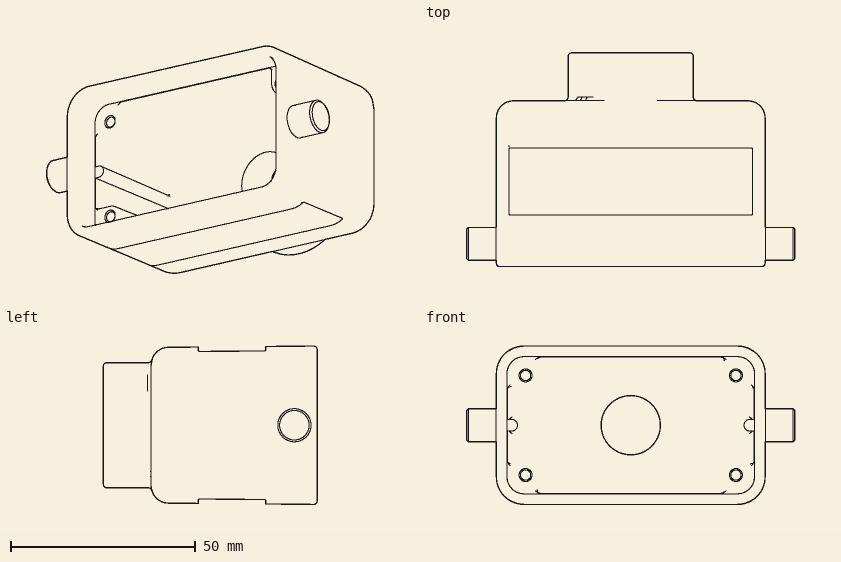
import cadquery as cq
import math

BODY_WIDTH = 72.9
BODY_HEIGHT = 43.0
BODY_DEPTH = 45.0
BODY_CORNER_RADIUS = 7.5
BODY_DRAFT = 0.5
BACK_EDGE_RADIUS = 4.7
MOUTH_EDGE_RADIUS = 1.0

COLLAR_DIAMETER = 34.0
COLLAR_LENGTH = 13.0
COLLAR_EDGE_RADIUS = 1.0
COLLAR_FOOT_RADIUS = 1.0
CABLE_HOLE_DIAMETER = 16.0

SEAT_DEPTH = 9.5
SEAT_WALL = 2.75
SEAT_EDGE_RADIUS = 0.5
CHAMBER_WALL = 3.05
CAVITY_DRAFT = 1.0
FLOOR_THICKNESS = 3.0
FLOOR_RADIUS = 0.8
WALL_JOINT_RADIUS = 0.9

SCREW_SPACING_X = 57.0
SCREW_SPACING_Z = 27.0
SCREW_HOLE_DIAMETER = 2.8
SCREW_HOLE_DEPTH = 10.0
SCREW_HOLE_CHAMFER = 0.35
POST_INNER_X = 25.35
POST_INNER_Z = 10.45
POST_CORNER_RADIUS = 3.4
POST_DRAFT = 1.0
POST_OVERRUN = 2.0
POST_EDGE_RADIUS = 0.6

RIB_RADIUS = 1.6
RIB_CENTER_X = 32.3

PIN_SPAN = 89.0
PIN_DIAMETER = 9.0
PIN_CENTER_Y = 6.2
PIN_CHAMFER = 0.5

LABEL_START_Y = 14.0
LABEL_LENGTH = 18.2
LABEL_DEPTH = 1.2
LABEL_FLOOR_RADIUS = 0.3

CHAMBER_END = BODY_DEPTH - FLOOR_THICKNESS

SELECT_MARGIN = 0.15


def plane_at(y):
    """Sketch plane at depth y whose extrusions run toward +Y."""
    return cq.Workplane(cq.Plane((0, y, 0), xDir=(-1, 0, 0), normal=(0, 1, 0)))


def drafted_block(y, width, height, radius, depth, draft):
    """Rounded block that narrows toward +Y."""
    outline = cq.Sketch().rect(width, height).vertices().fillet(radius)
    return plane_at(y).placeSketch(outline).extrude(depth, taper=draft)


def make_body():
    """Solid hood whose long sides are drafted while its short sides stay parallel."""
    mouth_z = BODY_HEIGHT / 2
    back_z = mouth_z - BODY_DEPTH * math.tan(math.radians(BODY_DRAFT))
    profile = [(0, -mouth_z), (BODY_DEPTH, -back_z), (BODY_DEPTH, back_z), (0, mouth_z)]
    body = cq.Workplane("YZ").polyline(profile).close().extrude(BODY_WIDTH / 2, both=True)
    long_corners = body.edges("not(|X)").edges("not(|Z)")
    body = long_corners.fillet(BODY_CORNER_RADIUS)
    body = body.faces(">Y").edges().fillet(BACK_EDGE_RADIUS)
    return body.faces("<Y").edges().fillet(MOUTH_EDGE_RADIUS)


def add_collar(body):
    """Join the cable collar to the back and round the joint and the rim."""
    collar = plane_at(BODY_DEPTH / 2).circle(COLLAR_DIAMETER / 2).extrude(BODY_DEPTH / 2 + COLLAR_LENGTH)
    reach = COLLAR_DIAMETER / 2 + COLLAR_FOOT_RADIUS / 2
    joint = cq.selectors.BoxSelector(
        (-reach, BODY_DEPTH - BACK_EDGE_RADIUS, -reach),
        (reach, BODY_DEPTH + COLLAR_FOOT_RADIUS, reach),
    )
    joined = body.union(collar)
    joined = joined.faces(">Y").edges().fillet(COLLAR_EDGE_RADIUS)
    return joined.edges(joint).edges("not %LINE").fillet(COLLAR_FOOT_RADIUS)


def make_pins():
    pins = cq.Workplane("YZ", origin=(-PIN_SPAN / 2, PIN_CENTER_Y, 0))
    pins = pins.circle(PIN_DIAMETER / 2).extrude(PIN_SPAN)
    return pins.faces("<X or >X").chamfer(PIN_CHAMFER)


def cut_seat(shell):
    """Open the mouth with a drafted seat and round its inner edge."""
    radius = BODY_CORNER_RADIUS - SEAT_WALL
    width = BODY_WIDTH - 2 * SEAT_WALL
    height = BODY_HEIGHT - 2 * SEAT_WALL
    shell = shell.cut(drafted_block(0, width, height, radius, SEAT_DEPTH, CAVITY_DRAFT))
    reach_x = width / 2 + SELECT_MARGIN
    reach_z = height / 2 + SELECT_MARGIN
    inner_edge = cq.selectors.BoxSelector(
        (-reach_x, -SELECT_MARGIN, -reach_z),
        (reach_x, SELECT_MARGIN, reach_z),
        boundingbox=True,
    )
    return shell.edges(inner_edge).fillet(SEAT_EDGE_RADIUS)


def make_post(side_x, side_z):
    """Post that thickens toward the floor and runs past the cavity walls into the shell."""
    width = BODY_WIDTH / 2 + POST_OVERRUN - POST_INNER_X
    height = BODY_HEIGHT / 2 + POST_OVERRUN - POST_INNER_Z
    outline = cq.Sketch().rect(width, height).vertices().fillet(POST_CORNER_RADIUS)
    post = plane_at(SEAT_DEPTH).placeSketch(outline).extrude(BODY_DEPTH, taper=-POST_DRAFT)
    post = post.faces("<Y").edges().fillet(POST_EDGE_RADIUS)
    return post.translate((side_x * (POST_INNER_X + width / 2), 0, side_z * (POST_INNER_Z + height / 2)))


def make_rib(side_x):
    """Rib standing on a floor plate, with the joint between them rounded."""
    length = 2 * (BODY_WIDTH / 2 - RIB_CENTER_X)
    center_x = side_x * (RIB_CENTER_X + length / 2)
    plate_size = length + 4 * RIB_RADIUS
    plate = plane_at(CHAMBER_END).center(-center_x, 0).rect(2 * plate_size, plate_size)
    plate = plate.extrude(FLOOR_THICKNESS)
    rib = plane_at(SEAT_DEPTH).center(-center_x, 0).slot2D(length + 2 * RIB_RADIUS, 2 * RIB_RADIUS)
    rib = rib.extrude(CHAMBER_END - SEAT_DEPTH)
    joint = cq.selectors.BoxSelector(
        (center_x - plate_size / 2, CHAMBER_END - SELECT_MARGIN, -2 * RIB_RADIUS),
        (center_x + plate_size / 2, CHAMBER_END + SELECT_MARGIN, 2 * RIB_RADIUS),
    )
    return plate.union(rib).edges(joint).fillet(FLOOR_RADIUS)


class WallJointSelector(cq.Selector):
    """Edges where posts meet the chamber walls, running from seat to floor."""

    def __init__(self, width, height):
        inset = (CHAMBER_END - SEAT_DEPTH) / 2 * math.tan(math.radians(CAVITY_DRAFT))
        self.half_width = width / 2 - inset
        self.half_height = height / 2 - inset

    def filter(self, edges):
        return [edge for edge in edges if self.is_joint(edge)]

    def is_joint(self, edge):
        size = edge.BoundingBox()
        middle = edge.Center()
        on_wall = (
            abs(abs(middle.x) - self.half_width) < SELECT_MARGIN
            or abs(abs(middle.z) - self.half_height) < SELECT_MARGIN
        )
        return on_wall and size.ylen > (CHAMBER_END - SEAT_DEPTH) / 2


def make_chamber():
    """Chamber volume with the posts and ribs left standing and the floor edge rounded."""
    width = BODY_WIDTH - 2 * CHAMBER_WALL
    height = BODY_HEIGHT - 2 * CHAMBER_WALL
    radius = BODY_CORNER_RADIUS - CHAMBER_WALL
    depth = CHAMBER_END - SEAT_DEPTH
    chamber = drafted_block(SEAT_DEPTH, width, height, radius, depth, CAVITY_DRAFT)
    for side_x in (-1, 1):
        for side_z in (-1, 1):
            chamber = chamber.cut(make_post(side_x, side_z))
    chamber = chamber.edges(WallJointSelector(width, height)).fillet(WALL_JOINT_RADIUS)
    chamber = chamber.faces(">Y").edges().fillet(FLOOR_RADIUS)
    return chamber.cut(make_rib(-1)).cut(make_rib(1))


def make_screw_holes():
    pattern = plane_at(SEAT_DEPTH).rect(SCREW_SPACING_X, SCREW_SPACING_Z, forConstruction=True).vertices()
    radius = SCREW_HOLE_DIAMETER / 2
    drill = cq.Solid.makeCylinder(radius, SCREW_HOLE_DEPTH)
    countersink = cq.Solid.makeCone(radius + SCREW_HOLE_CHAMFER, radius, SCREW_HOLE_CHAMFER)
    tool = drill.fuse(countersink)
    return pattern.eachpoint(lambda place: tool.moved(place), useLocalCoordinates=True)


def make_label_recess(side_z):
    """Cutter whose floor runs parallel to the drafted long side."""
    inset_at_start = LABEL_START_Y * math.tan(math.radians(BODY_DRAFT))
    floor_z = BODY_HEIGHT / 2 - inset_at_start - LABEL_DEPTH
    cutter = cq.Workplane("XY").box(BODY_WIDTH, LABEL_LENGTH, 4 * LABEL_DEPTH, centered=(True, False, False))
    cutter = cutter.faces("<Z").edges("|X").fillet(LABEL_FLOOR_RADIUS)
    cutter = cutter.rotate((0, 0, 0), (1, 0, 0), -BODY_DRAFT).translate((0, LABEL_START_Y, floor_z))
    return cutter if side_z > 0 else cutter.mirror("XY")


result = cut_seat(add_collar(make_body()).union(make_pins()))
result = result.cut(make_chamber()).cut(make_screw_holes())
for side in (-1, 1):
    result = result.cut(make_label_recess(side))
cable_hole = plane_at(0).circle(CABLE_HOLE_DIAMETER / 2).extrude(BODY_DEPTH + COLLAR_LENGTH)
result = result.cut(cable_hole)